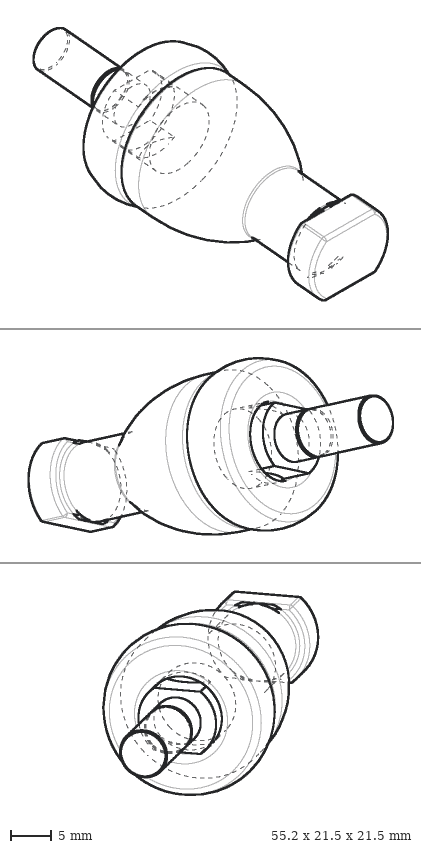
import cadquery as cq
import math


shank_radius = 3.05
tip_chamfer = 0.15
groove_center_x = 11.0
groove_depth = 0.15
flange_x = 15.0
flange_radius = 5.0
flange_flat_distance = 8.05
shoulder_x = 18.5

ring_front_x = 16.65
ring_back_x = 23.7
ring_max_radius = 10.75
ring_bulge_radius = 7.5
ring_edge_fillet = 1.0
bore_fillet = 1.0

housing_radius = 10.0
housing_edge_fillet = 0.5
dome_x = 27.15
dome_arc_radius = 22.0
neck_radius = 5.0
neck_fillet = 0.5

head_front_x = 50.55
head_back_x = 55.2
head_radius = 6.55
head_flat_distance = 2 * neck_radius
head_fillet = 0.5
neck_flare = 0.4


def flatted(body, start_x, end_x, flat_distance):
    """Keep only the part of a body between two stations and two horizontal flats."""
    length = end_x - start_x
    width = 4 * housing_radius
    keep = cq.Workplane("XY").box(length, width, flat_distance, centered=(False, True, True))
    return body.intersect(keep.translate((start_x, 0, 0)))


def cylinder(start_x, end_x, radius):
    return cq.Workplane("YZ", origin=(start_x, 0, 0)).circle(radius).extrude(end_x - start_x)


def revolved(profile):
    """Turn a closed XY profile about the X axis."""
    return profile.close().revolve(360, (0, 0, 0), (1, 0, 0))


def circle_edge(x):
    """Select the circular edge centred on the X axis at a station."""
    return cq.selectors.NearestToPointSelector((x, 0, 0))


def make_stud():
    groove_floor = shank_radius - groove_depth
    shank = revolved(
        cq.Workplane("XY")
        .lineTo(0, shank_radius - tip_chamfer)
        .lineTo(tip_chamfer, shank_radius)
        .lineTo(groove_center_x - groove_depth, shank_radius)
        .lineTo(groove_center_x, groove_floor)
        .lineTo(groove_center_x + groove_depth, shank_radius)
        .lineTo(flange_x, shank_radius)
        .lineTo(flange_x, 0)
    )
    cone_height = flange_radius - flange_flat_distance / 2
    shoulder = cylinder(shoulder_x, ring_back_x, flange_radius).faces("<X").chamfer(cone_height)
    flange = cylinder(flange_x, ring_back_x, flange_radius)
    flange = flatted(flange, flange_x, ring_back_x, flange_flat_distance)
    return shank.union(flange).union(shoulder)


def make_ring():
    half_width = (ring_back_x - ring_front_x) / 2
    bulge_rise = ring_bulge_radius - math.sqrt(ring_bulge_radius**2 - half_width**2)
    edge_radius = ring_max_radius - bulge_rise
    ring = revolved(
        cq.Workplane("XY")
        .moveTo(ring_front_x, 0)
        .lineTo(ring_front_x, edge_radius)
        .threePointArc((ring_front_x + half_width, ring_max_radius), (ring_back_x, edge_radius))
        .lineTo(ring_back_x, 0)
    )
    ring = ring.edges(circle_edge(ring_front_x)).fillet(ring_edge_fillet)
    ring = ring.edges(circle_edge(ring_back_x)).fillet(ring_edge_fillet)
    ring = ring.cut(cylinder(ring_front_x, ring_back_x, flange_radius))
    return ring.faces("<X").edges(cq.selectors.RadiusNthSelector(0)).fillet(bore_fillet)


def make_housing_shell():
    """Band, dome and neck of the housing."""
    arc_center_y = housing_radius - dome_arc_radius
    dome_angle = math.acos((neck_radius - arc_center_y) / dome_arc_radius)
    dome_end_x = dome_x + dome_arc_radius * math.sin(dome_angle)
    dome_middle = (
        dome_x + dome_arc_radius * math.sin(dome_angle / 2),
        arc_center_y + dome_arc_radius * math.cos(dome_angle / 2),
    )
    neck_end_x = head_front_x + head_fillet
    shell = revolved(
        cq.Workplane("XY")
        .moveTo(ring_back_x, 0)
        .lineTo(ring_back_x, housing_radius)
        .lineTo(dome_x, housing_radius)
        .threePointArc(dome_middle, (dome_end_x, neck_radius))
        .lineTo(neck_end_x, neck_radius)
        .lineTo(neck_end_x, 0)
    )
    shell = shell.edges(circle_edge(ring_back_x)).fillet(housing_edge_fillet)
    return shell.edges(circle_edge(dome_end_x)).fillet(neck_fillet)


def make_head():
    """Round head with two flats and all its edges rounded."""
    head = cylinder(head_front_x, head_back_x, head_radius)
    head = flatted(head, head_front_x, head_back_x, head_flat_distance)
    head = head.edges("|X").fillet(head_fillet)
    return head.faces("<X or >X").edges().fillet(head_fillet)


def make_neck_flare():
    """Concave rounding between neck and head, cut off level with the head flats."""
    flare_start_x = head_front_x - neck_flare
    flare_top = neck_radius + neck_flare
    arc_middle = (
        flare_start_x + neck_flare * math.sin(math.pi / 4),
        flare_top - neck_flare * math.cos(math.pi / 4),
    )
    flare = revolved(
        cq.Workplane("XY")
        .moveTo(flare_start_x, 0)
        .lineTo(flare_start_x, neck_radius)
        .threePointArc(arc_middle, (head_front_x, flare_top))
        .lineTo(head_front_x, 0)
    )
    return flatted(flare, flare_start_x, head_front_x, head_flat_distance)


stud = make_stud()
ring = make_ring()
housing = make_housing_shell().union(make_head()).union(make_neck_flare())

result = cq.Compound.makeCompound([stud.val(), ring.val(), housing.val()])